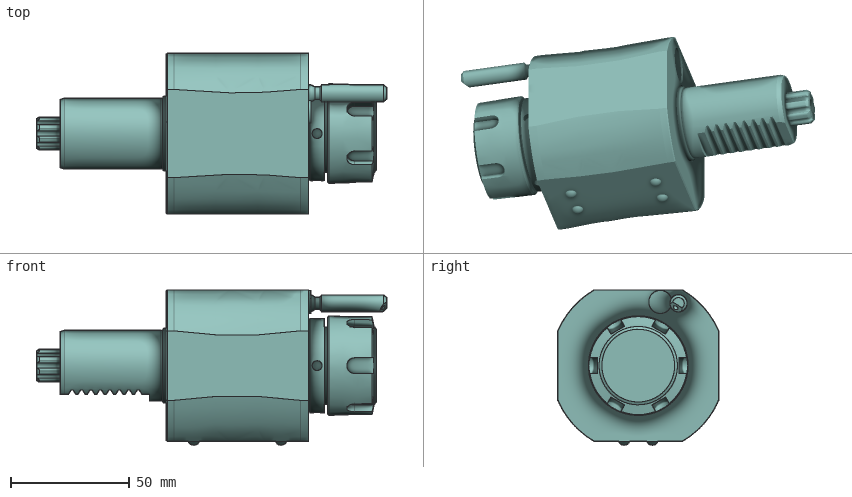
import cadquery as cq
import math


body_length = 60.2
body_width = 68.0
body_height = 64.0
corner_radius = 74.0 / 2
waist_radius = corner_radius - 0.71
waist_start = 3.3
waist_end = 56.6
body_chamfer = 0.5

shank_radius = 30.0 / 2
shank_length = 45.0
lead_face_radius = 14.2
lead_radius = 14.5
lead_chamfer = 0.3
lead_length = 1.9
flange_radius = 15.8
flange_length = 1.5
flange_round = 0.7
relief_radius = 14.8
relief_length = 0.9
seat_radius = 16.5
seat_depth = 0.5
rack_flat = 12.1
rack_flat_end = -7.1
tooth_count = 8
tooth_pitch = 4.0
tooth_depth = 1.8
tooth_top_width = 3.1
tooth_root_width = 0.9
first_tooth = -39.8

spline_length = 9.8
spline_radius = 7.2
spline_teeth = 8
spline_groove_radius = 1.0
spline_mouth_width = 3.3
spline_root = 5.3
spline_tip_round = 0.9
spline_end_length = 1.2
spline_end_drop = 0.9
center_radius = 2.4
center_rim_radius = 3.1
center_depth = 5.9

collar_radius = 20.0
collar_end = 66.8
collar_chamfer = 0.6
spanner_hole_count = 4
spanner_hole_radius = 2.0
spanner_hole_x = 63.7
spanner_hole_depth = 3.0
neck_radius = 16.4
nut_start = 68.0
nut_radius = 42.1 / 2
nut_rim_radius = 20.7
nut_rim_x = 86.9
nut_chamfer = 0.7
nut_face_radius = 16.5
nut_face_x = 87.8
nose_radius = 15.4
nose_x = 88.7
slot_count = 6
slot_width = 6.7
slot_start = 76.3
slot_floor = 17.3

nozzle_y = 17.0
nozzle_z = 26.3
nozzle_radius = 7.2 / 2
nozzle_ball = 3.7
nozzle_neck = 2.7
nozzle_start = 65.6
nozzle_flare = 0.7
nozzle_end = 93.1
nozzle_nose_length = 1.3
nozzle_nose_radius = nozzle_radius - 1.2
outlet_radius = 1.0
outlet_depth = 3.7
outlet_cut = 2.8

recess_y = 12.4
recess_z = 21.6
recess_radius = 7.5
recess_depth = 0.7
recess_taper = 25.0
plug_y = 9.3
plug_z = 26.9
plug_radius = 4.9
plug_height = 0.9
button_x = (11.7, 48.5)
button_y = 12.0 / 2
button_radius = 2.4
button_height = 1.6


def revolve_x(points):
    """Revolve a closed (x, radius) outline around the spindle axis."""
    return cq.Workplane("XY").polyline(points).close().revolve(360, (0, 0, 0), (1, 0, 0))


def disc_x(x, y, z, radius, length):
    """Cylinder along +X starting at the point (x, y, z)."""
    return cq.Workplane("YZ", origin=(x, y, z)).circle(radius).extrude(length)


def make_housing():
    """Box whose corners are turned to a round form with a shallow waist."""
    block = cq.Workplane("XY").box(body_length, body_width, body_height)
    block = block.translate((body_length / 2, 0, 0))
    turned = (
        cq.Workplane("XY")
        .lineTo(0, corner_radius)
        .lineTo(waist_start, corner_radius)
        .threePointArc(
            ((waist_start + waist_end) / 2, waist_radius),
            (waist_end, corner_radius),
        )
        .lineTo(body_length, corner_radius)
        .lineTo(body_length, 0)
        .close()
        .revolve(360, (0, 0, 0), (1, 0, 0))
    )
    housing = block.intersect(turned)
    housing = housing.faces("<X").chamfer(body_chamfer)
    recess = (
        cq.Workplane("YZ", origin=(0, recess_y, recess_z))
        .circle(recess_radius)
        .extrude(recess_depth, taper=recess_taper)
    )
    seat = disc_x(0, 0, 0, seat_radius, seat_depth)
    return housing.cut(recess).cut(seat)


def make_shank():
    """Round shank with a rounded flange and a toothed flat along its underside."""
    shank = revolve_x([
        (-shank_length, 0),
        (-shank_length, lead_face_radius),
        (-shank_length + lead_chamfer, lead_radius),
        (-shank_length + lead_length, shank_radius),
        (-flange_length - relief_length, shank_radius),
        (-flange_length, relief_radius),
        (-flange_length, flange_radius),
        (seat_depth, flange_radius),
        (seat_depth, 0),
    ])
    flange_rims = shank.edges("%CIRCLE").edges(cq.selectors.RadiusNthSelector(-1))
    shank = flange_rims.edges("<X").fillet(flange_round)
    flat_length = shank_length + rack_flat_end
    flat = cq.Workplane("XY").box(
        flat_length, 2 * shank_radius, shank_radius, centered=(False, True, False)
    )
    shank = shank.cut(flat.translate((-shank_length, 0, -rack_flat - shank_radius)))
    for index in range(tooth_count):
        x = first_tooth + index * tooth_pitch
        groove = (
            cq.Workplane("XZ")
            .polyline([
                (x - tooth_top_width / 2, -rack_flat),
                (x - tooth_root_width / 2, -rack_flat + tooth_depth),
                (x + tooth_root_width / 2, -rack_flat + tooth_depth),
                (x + tooth_top_width / 2, -rack_flat),
            ])
            .close()
            .extrude(shank_radius, both=True)
        )
        shank = shank.cut(groove)
    return shank


def make_spline():
    """Stub with rounded spline teeth, a tapered end and a countersunk center hole."""
    start = -shank_length - spline_length
    stub = disc_x(start, 0, 0, spline_radius, spline_length)
    groove_center = spline_root + spline_groove_radius
    groove = disc_x(start, 0, groove_center, spline_groove_radius, spline_length)
    mouth = (
        cq.Workplane("YZ", origin=(start, 0, 0))
        .polyline([
            (-spline_groove_radius, groove_center),
            (-spline_mouth_width / 2, spline_radius),
            (spline_mouth_width / 2, spline_radius),
            (spline_groove_radius, groove_center),
        ])
        .close()
        .extrude(spline_length)
    )
    groove = groove.union(mouth)
    for index in range(spline_teeth):
        stub = stub.cut(groove.rotate((0, 0, 0), (1, 0, 0), index * 360 / spline_teeth))
    tip_start = spline_radius - spline_tip_round / 2
    tip_edges = stub.edges("|X").filter(
        lambda edge: math.hypot(edge.Center().y, edge.Center().z) > tip_start
    )
    stub = tip_edges.fillet(spline_tip_round)
    envelope = revolve_x([
        (start, 0),
        (start, spline_radius - spline_end_drop),
        (start + spline_end_length, spline_radius),
        (-shank_length, spline_radius),
        (-shank_length, 0),
    ])
    center_hole = revolve_x([
        (start, 0),
        (start, center_rim_radius),
        (start + center_rim_radius - center_radius, center_radius),
        (start + center_depth, center_radius),
        (start + center_depth, 0),
    ])
    return stub.intersect(envelope).cut(center_hole)


def make_nut():
    """Collar with spanner holes, neck, and slotted clamping nut."""
    nut = revolve_x([
        (body_length, 0),
        (body_length, collar_radius - collar_chamfer),
        (body_length + collar_chamfer, collar_radius),
        (collar_end, collar_radius),
        (collar_end, neck_radius),
        (nut_start, neck_radius),
        (nut_start, nut_radius - nut_chamfer),
        (nut_start + nut_chamfer, nut_radius),
        (nut_rim_x, nut_rim_radius),
        (nut_face_x, nut_face_radius),
        (nose_x, nose_radius),
        (nose_x, 0),
    ])
    hole = (
        cq.Workplane("XY", origin=(spanner_hole_x, 0, collar_radius - spanner_hole_depth))
        .circle(spanner_hole_radius)
        .extrude(2 * spanner_hole_depth)
    )
    for index in range(spanner_hole_count):
        nut = nut.cut(hole.rotate((0, 0, 0), (1, 0, 0), index * 360 / spanner_hole_count))
    slot_length = 2 * (nose_x - slot_start)
    slot = (
        cq.Workplane("XZ", origin=(nose_x, -slot_floor, 0))
        .slot2D(slot_length, slot_width)
        .extrude(nut_radius - slot_floor)
    )
    for index in range(slot_count):
        nut = nut.cut(slot.rotate((0, 0, 0), (1, 0, 0), index * 360 / slot_count))
    return nut


def make_nozzle():
    """Ball-seated coolant pipe whose outlet is aimed 45 degrees at the spindle axis."""
    ball_exit = math.sqrt(nozzle_ball**2 - nozzle_neck**2)
    nozzle = (
        cq.Workplane("XY")
        .moveTo(body_length - nozzle_ball, 0)
        .threePointArc((body_length, nozzle_ball), (body_length + ball_exit, nozzle_neck))
        .lineTo(nozzle_start - nozzle_flare, nozzle_neck)
        .lineTo(nozzle_start, nozzle_radius)
        .lineTo(nozzle_end - nozzle_nose_length, nozzle_radius)
        .lineTo(nozzle_end, nozzle_nose_radius)
        .lineTo(nozzle_end, 0)
        .close()
        .revolve(360, (0, 0, 0), (1, 0, 0))
    )
    flat_center = (nozzle_end - outlet_cut / 2, 0, -nozzle_radius + outlet_cut / 2)
    outlet_plane = cq.Plane(origin=flat_center, xDir=(0, 1, 0), normal=(1, 0, -1))
    flat = cq.Workplane(outlet_plane).rect(4 * nozzle_radius, 4 * nozzle_radius).extrude(nozzle_radius)
    outlet = cq.Workplane(outlet_plane).circle(outlet_radius).extrude(-outlet_depth)
    nozzle = nozzle.cut(flat).cut(outlet)
    turn = -math.degrees(math.atan2(nozzle_y, nozzle_z))
    return nozzle.rotate((0, 0, 0), (1, 0, 0), turn).translate((0, nozzle_y, nozzle_z))


def make_button(x, y):
    """Domed button standing on the underside of the housing."""
    dome_radius = (button_radius**2 + button_height**2) / (2 * button_height)
    center_z = -body_height / 2 - button_height + dome_radius
    return cq.Workplane("XY").sphere(dome_radius).translate((x, y, center_z))


result = make_housing().union(make_shank()).union(make_spline())
result = result.union(make_nut()).union(make_nozzle())
result = result.union(disc_x(body_length, plug_y, plug_z, plug_radius, plug_height))
for x in button_x:
    for y in (-button_y, button_y):
        result = result.union(make_button(x, y))